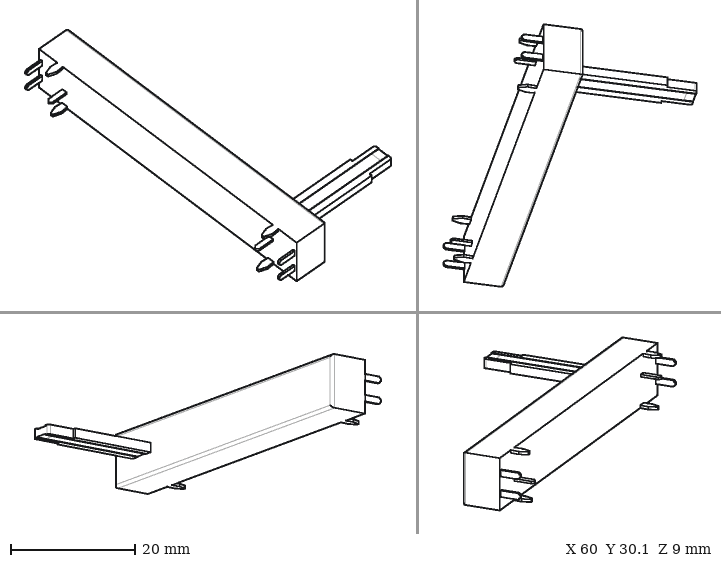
import cadquery as cq


body_length = 60.0
body_depth = 6.6
body_height = 9.0
body_fillet = 0.5

lever_x = 22.5
lever_length = 20.0
lever_width = 5.0
lever_thickness = 1.6
tip_length = 5.0
tip_width = 4.0
tip_fillet = 0.4
groove_width = 2.2
groove_depth = 0.1
groove_end_depth = 0.15
groove_ramp_length = 1.6

pin_thickness = 0.4
pin_length = 3.5
pin_chamfer = 0.4
end_pin_width = 1.1
end_pin_x = 29.4
end_pin_z = 1.75
middle_pin_width = 1.0
middle_pin_x = 24.05
middle_pin_z = 1.0

clip_thickness = 0.5
clip_length = 2.9
clip_root_width = 1.3
clip_bulge_width = 1.5
clip_bulge_distance = 1.45
clip_tip_width = 0.5
top_clip_x = 25.1
bottom_clip_x = 24.0
clip_z = (body_height - clip_thickness) / 2


def make_body():
    """Housing block with rounded edges around its lever face."""
    block = cq.Workplane("XY").box(body_length, body_depth, body_height)
    block = block.faces(">Y").fillet(body_fillet)
    return block.translate((0, body_depth / 2, 0))


def make_lever():
    """Flat stepped lever with a shallow groove along each broad face, ramping deeper at the tip."""
    stem_length = lever_length - tip_length
    stem = cq.Workplane("XY").box(
        lever_width, stem_length, lever_thickness, centered=(True, False, True)
    )
    tip = cq.Workplane("XY").box(
        tip_width, tip_length, lever_thickness, centered=(True, False, True)
    )
    tip = tip.faces(">Y").edges("|Z").fillet(tip_fillet)
    lever = stem.union(tip.translate((0, stem_length, 0)))

    surface = lever_thickness / 2
    groove_profile = [
        (0, surface),
        (0, surface - groove_depth),
        (lever_length - groove_ramp_length, surface - groove_depth),
        (lever_length, surface - groove_end_depth),
        (lever_length, surface),
    ]
    groove = cq.Workplane("YZ").polyline(groove_profile).close().extrude(groove_width / 2, both=True)
    lever = lever.cut(groove).cut(groove.mirror("XY"))
    return lever.translate((lever_x, body_depth, 0))


def make_pin(width):
    """Sheet terminal, wide along X, with bevelled corners at its free end."""
    pin = cq.Workplane("XY").box(width, pin_length, pin_thickness)
    pin = pin.faces("<Y").edges("|Z").chamfer(pin_chamfer)
    return pin.translate((0, -pin_length / 2, 0))


def make_clip():
    """Arrow-shaped sheet clip, widest part way along its length."""
    right_edge = [
        (clip_root_width / 2, 0),
        (clip_bulge_width / 2, -clip_bulge_distance),
        (clip_tip_width / 2, -clip_length),
    ]
    left_edge = [(-x, y) for x, y in reversed(right_edge)]
    clip = cq.Workplane("XY").polyline(right_edge + left_edge).close()
    return clip.extrude(clip_thickness / 2, both=True)


result = make_body().union(make_lever())

middle_pin = make_pin(middle_pin_width)
end_pin = make_pin(end_pin_width).rotate((0, 0, 0), (0, 1, 0), 90)
clip = make_clip()
for side in (-1, 1):
    for level in (-1, 1):
        result = result.union(end_pin.translate((side * end_pin_x, 0, level * end_pin_z)))
    result = result.union(middle_pin.translate((side * middle_pin_x, 0, side * middle_pin_z)))
    result = result.union(clip.translate((side * top_clip_x, 0, clip_z)))
    result = result.union(clip.translate((side * bottom_clip_x, 0, -clip_z)))